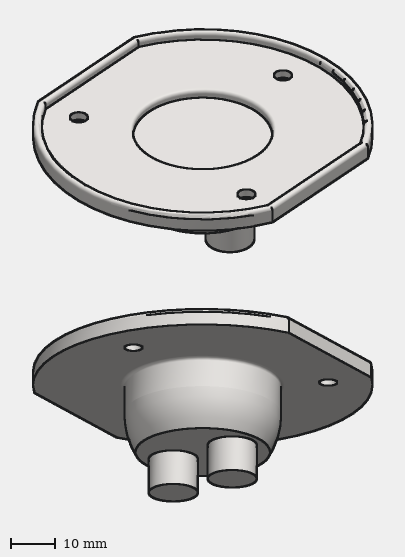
import cadquery as cq
import math

plate_diameter = 75.7
plate_width = 68.0
plate_thickness = 4.0
rim_width = 2.0
recess_depth = 2.0

hole_count = 3
hole_diameter = 4.0
hole_circle_radius = 28.0
first_hole_angle = 90.0

cup_radius = 17.5
cup_root_fillet = 0.75
cylinder_end_depth = 11.0
sphere_height = 9.0

pocket_radius = 15.5
pocket_edge_fillet = 1.0
pocket_depth = 2.0

pin_diameter = 11.0
pin_spacing = 15.75
pin_length = 8.0

plate_bottom = -plate_thickness
recess_floor = -recess_depth
cylinder_end = -cylinder_end_depth
cup_bottom = cylinder_end - sphere_height

plate_radius = plate_diameter / 2
plate_half_width = plate_width / 2
rim_radius = rim_width / 2

mitre_tolerance = 0.001


def plate_half_section(edge):
    """Section from the centre line out to the edge, with the recess and the half-round rim."""
    return (
        cq.Workplane("XZ")
        .moveTo(0, plate_bottom)
        .lineTo(edge, plate_bottom)
        .lineTo(edge, -rim_radius)
        .threePointArc((edge - rim_radius, 0), (edge - rim_width, -rim_radius))
        .lineTo(edge - rim_width, recess_floor)
        .lineTo(0, recess_floor)
        .close()
    )


def make_flat_zone():
    """Prism holding both flats, bounded by the mitre planes through the plate corners."""
    outer_corner_y = math.sqrt(plate_radius**2 - plate_half_width**2)
    inner_corner_y = math.sqrt((plate_radius - rim_width) ** 2 - (plate_half_width - rim_width) ** 2)
    mitre_slope = (outer_corner_y - inner_corner_y) / rim_width
    centre_y = outer_corner_y - mitre_slope * plate_half_width
    end_y = centre_y + mitre_slope * plate_radius
    corners = [
        (0, centre_y),
        (plate_radius, end_y),
        (plate_radius, -end_y),
        (0, -centre_y),
        (-plate_radius, -end_y),
        (-plate_radius, end_y),
    ]
    return cq.Workplane("XY").polyline(corners).close().extrude(plate_bottom)


def make_plate():
    """Round plate whose two sides are replaced by straight ones along the flats."""
    flat_zone = make_flat_zone()
    round_plate = plate_half_section(plate_radius).revolve()
    half_bar = plate_half_section(plate_half_width).extrude(plate_radius, both=True)
    bar = half_bar.union(half_bar.mirror("YZ"))
    return round_plate.cut(flat_zone).union(bar.intersect(flat_zone), tol=mitre_tolerance)


def make_cup():
    """Solid cup: cylinder, then sphere, cut off flat at the bottom."""
    cup_bottom_radius = math.sqrt(cup_radius**2 - sphere_height**2)
    arc_angle = math.asin(sphere_height / cup_radius) / 2
    arc_point = (cup_radius * math.cos(arc_angle), cylinder_end - cup_radius * math.sin(arc_angle))
    return (
        cq.Workplane("XZ")
        .moveTo(0, plate_bottom)
        .lineTo(cup_radius + cup_root_fillet, plate_bottom)
        .radiusArc((cup_radius, plate_bottom - cup_root_fillet), -cup_root_fillet)
        .lineTo(cup_radius, cylinder_end)
        .threePointArc(arc_point, (cup_bottom_radius, cup_bottom))
        .lineTo(0, cup_bottom)
        .close()
        .revolve()
    )


def make_pins():
    """Two pins side by side along X under the cup."""
    return (
        cq.Workplane("XY")
        .workplane(offset=cup_bottom)
        .rarray(pin_spacing, 0.75, 2, 1)
        .circle(pin_diameter / 2)
        .extrude(-pin_length)
    )


def make_pocket():
    """Cutter for the pocket, flared at the top by the rounded edge."""
    flare_radius = pocket_radius + pocket_edge_fillet
    return (
        cq.Workplane("XZ")
        .moveTo(0, recess_floor)
        .lineTo(flare_radius, recess_floor)
        .radiusArc((pocket_radius, recess_floor - pocket_edge_fillet), -pocket_edge_fillet)
        .lineTo(pocket_radius, recess_floor - pocket_depth)
        .lineTo(0, recess_floor - pocket_depth)
        .close()
        .revolve()
    )


def make_holes():
    """Cutter for the screw holes through the plate."""
    return (
        cq.Workplane("XY")
        .polarArray(hole_circle_radius, first_hole_angle, 360, hole_count)
        .circle(hole_diameter / 2)
        .extrude(plate_bottom)
    )


body = make_plate().union(make_cup()).union(make_pins())
result = body.cut(make_pocket()).cut(make_holes())